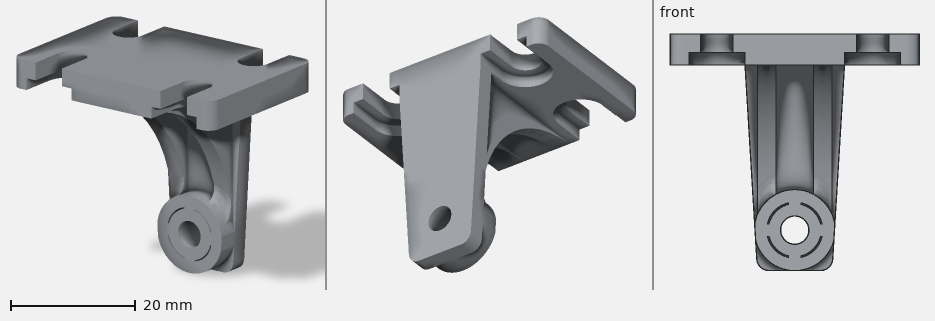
import cadquery as cq

PLATE_LENGTH = 40.0
PLATE_DEPTH = 27.5
PLATE_THICKNESS = 5.0
PLATE_CORNER_RADIUS = 2.0

SLOT_OFFSET = 12.5
SLOT_WIDTH = 5.25
SLOT_CENTRE_DEPTH = 6.0
HEAD_WIDTH = 9.0
HEAD_DEPTH = 2.0

LEG_BOTTOM_Z = -38.0
LEG_THICKNESS = 3.0
LEG_TOP_WIDTH = 16.0
LEG_BOTTOM_WIDTH = 12.0
LEG_CORNER_RADIUS = 2.0

RIB_INNER_X = 3.0
RIB_OUTER_X = 6.0
RIB_RADIUS = 25.0

BOSS_RADIUS = 6.5
BOSS_LENGTH = 3.5
BOSS_FILLET_RADIUS = 2.0
HOLE_DIAMETER = 4.5

SLIT_OUTER_RADIUS = 4.5
SLIT_WIDTH = 0.25
SLIT_BRIDGE = 2.0
SLIT_DEPTH = BOSS_LENGTH

SELECTION_MARGIN = 0.1

PLATE_BOTTOM_Z = -PLATE_THICKNESS
BACK_Y = PLATE_DEPTH / 2
FRONT_Y = -BACK_Y
LEG_FRONT_Y = BACK_Y - LEG_THICKNESS
BOSS_FRONT_Y = LEG_FRONT_Y - BOSS_LENGTH
BOSS_Z = LEG_BOTTOM_Z + BOSS_RADIUS


def slot_cutter(width, bottom_z, height, x, side):
    """Round-ended slot running inward from the plate edge on the given side (+1 back, -1 front)."""
    end_y = side * (BACK_Y - SLOT_CENTRE_DEPTH)
    edge_y = side * BACK_Y
    straight = (
        cq.Workplane("XY", origin=(x, (end_y + edge_y) / 2, bottom_z))
        .rect(width, SLOT_CENTRE_DEPTH)
        .extrude(height)
    )
    end = cq.Workplane("XY", origin=(x, end_y, bottom_z)).circle(width / 2).extrude(height)
    return straight.union(end)


def make_plate():
    plate = (
        cq.Workplane("XY", origin=(0, 0, PLATE_BOTTOM_Z))
        .rect(PLATE_LENGTH, PLATE_DEPTH)
        .extrude(PLATE_THICKNESS)
        .edges("|Z")
        .fillet(PLATE_CORNER_RADIUS)
    )
    for x in (-SLOT_OFFSET, SLOT_OFFSET):
        for side in (-1, 1):
            plate = plate.cut(slot_cutter(SLOT_WIDTH, PLATE_BOTTOM_Z, PLATE_THICKNESS, x, side))
            plate = plate.cut(slot_cutter(HEAD_WIDTH, PLATE_BOTTOM_Z, HEAD_DEPTH, x, side))
    return plate


def leg_prism(thickness):
    """Tapered leg outline extruded forward from the back face."""
    return (
        cq.Workplane("XZ", origin=(0, BACK_Y, 0))
        .moveTo(-LEG_TOP_WIDTH / 2, PLATE_BOTTOM_Z)
        .lineTo(LEG_TOP_WIDTH / 2, PLATE_BOTTOM_Z)
        .lineTo(LEG_BOTTOM_WIDTH / 2, LEG_BOTTOM_Z)
        .lineTo(-LEG_BOTTOM_WIDTH / 2, LEG_BOTTOM_Z)
        .close()
        .extrude(thickness)
    )


def make_leg():
    return leg_prism(LEG_THICKNESS).faces("<Z").edges("|Y").fillet(LEG_CORNER_RADIUS)


def boss_cylinder(back_y):
    """Full round boss from the given back position to its front face."""
    return (
        cq.Workplane("XZ", origin=(0, back_y, BOSS_Z))
        .circle(BOSS_RADIUS)
        .extrude(back_y - BOSS_FRONT_Y)
    )


def make_boss():
    """Round boss trimmed to the tapered sides of the leg."""
    return boss_cylinder(LEG_FRONT_Y).intersect(leg_prism(LEG_THICKNESS + BOSS_LENGTH))


def make_rib_stock():
    """Wide block with the concave rib front, blended all around the boss.

    The hollow is tangent to both the leg face and the plate underside. The block is wider
    than the boss, so the blend closes on itself; the ribs are slices of this stock.
    """
    half_width = 2 * BOSS_RADIUS
    block_bottom_z = BOSS_Z - half_width
    block = cq.Workplane("XY").box(
        2 * half_width, PLATE_DEPTH, PLATE_BOTTOM_Z - block_bottom_z, centered=(True, True, False)
    )
    block = block.translate((0, 0, block_bottom_z))
    hollow = (
        cq.Workplane("YZ", origin=(-half_width, LEG_FRONT_Y - RIB_RADIUS, PLATE_BOTTOM_Z - RIB_RADIUS))
        .circle(RIB_RADIUS)
        .extrude(2 * half_width)
    )
    stock = block.cut(hollow).union(boss_cylinder(BACK_Y))
    reach = BOSS_RADIUS + SELECTION_MARGIN
    foot_edges = cq.selectors.BoxSelector(
        (-reach, BOSS_FRONT_Y + SELECTION_MARGIN, BOSS_Z - reach),
        (reach, BACK_Y, BOSS_Z + reach),
        boundingbox=True,
    )
    return stock.edges(foot_edges).fillet(BOSS_FILLET_RADIUS)


def make_ribs():
    """Two slices of the rib stock outside the boss, ahead of the leg face and under the plate."""
    stock = make_rib_stock().cut(boss_cylinder(BACK_Y))
    ribs = cq.Workplane("XY")
    for start_x in (RIB_INNER_X, -RIB_OUTER_X):
        window = cq.Workplane("XY", origin=(start_x, FRONT_Y, BOSS_Z)).box(
            RIB_OUTER_X - RIB_INNER_X, LEG_FRONT_Y - FRONT_Y, PLATE_BOTTOM_Z - BOSS_Z, centered=False
        )
        ribs = ribs.add(stock.intersect(window))
    return ribs.combine()


def slit_cutter():
    """Thin ring divided into four arcs by a cross of uncut bridges."""
    front = cq.Workplane("XZ", origin=(0, BOSS_FRONT_Y, BOSS_Z))
    ring = front.circle(SLIT_OUTER_RADIUS).circle(SLIT_OUTER_RADIUS - SLIT_WIDTH).extrude(-SLIT_DEPTH)
    span = 2 * BOSS_RADIUS
    cross = front.rect(span, SLIT_BRIDGE).extrude(-SLIT_DEPTH)
    cross = cross.union(front.rect(SLIT_BRIDGE, span).extrude(-SLIT_DEPTH))
    return ring.cut(cross)


def hole_cutter():
    return (
        cq.Workplane("XZ", origin=(0, BACK_Y, BOSS_Z))
        .circle(HOLE_DIAMETER / 2)
        .extrude(LEG_THICKNESS + BOSS_LENGTH)
    )


body = make_plate().union(make_leg()).union(make_ribs()).union(make_boss())
result = body.cut(hole_cutter()).cut(slit_cutter())